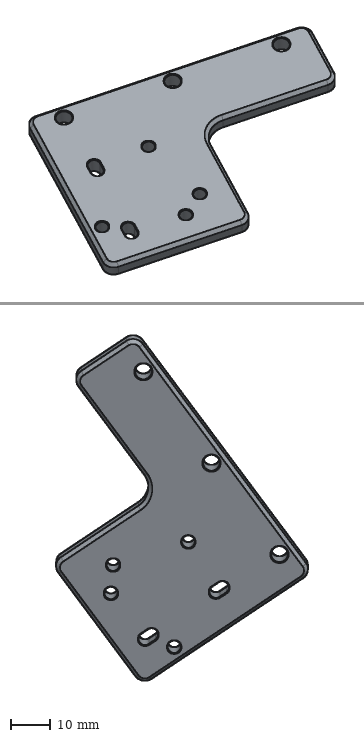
import cadquery as cq

base_width = 53.0
plate_length = 78.0
thickness = 5.0
arm_width = 20.0
base_length = 40.0
outer_corner_radius = 3.0
inner_corner_radius = 6.0
edge_chamfer = 1.0

mount_diameter = 4.2
mount_x = 4.0
mount_first_y = 9.0
mount_pitch = 30.0
mount_count = 3

hole_chamfer = 0.2

small_diameter = 3.3
pair_x = (21.0, 45.0)
pair_y = 25.0
column_x = 40.2
column_y = (4.0, 31.0)
slot_y = 10.0
slot_travel = 2.0


def make_plate():
    """L-shaped plate with rounded corners and chamfered top and bottom rims."""
    plate = (
        cq.Workplane("XY")
        .moveTo(0, 0)
        .lineTo(base_width, 0)
        .lineTo(base_width, base_length)
        .lineTo(arm_width, base_length)
        .lineTo(arm_width, plate_length)
        .lineTo(0, plate_length)
        .close()
        .extrude(thickness)
    )
    inner_corner = cq.selectors.NearestToPointSelector((arm_width, base_length, thickness / 2))
    plate = plate.edges(inner_corner).fillet(inner_corner_radius)
    outer_corners = [
        (0, 0),
        (base_width, 0),
        (base_width, base_length),
        (arm_width, plate_length),
        (0, plate_length),
    ]
    for x, y in outer_corners:
        corner = cq.selectors.NearestToPointSelector((x, y, thickness / 2))
        plate = plate.edges(corner).fillet(outer_corner_radius)
    return plate.faces("<Z or >Z").edges().chamfer(edge_chamfer)


def round_holes(points, diameter):
    """Cylinders that cut through the full plate thickness."""
    return cq.Workplane("XY").pushPoints(points).circle(diameter / 2).extrude(thickness)


def slots():
    """Each slot starts or ends on a pair hole's X position and runs inward."""
    left_center = pair_x[0] + slot_travel / 2
    right_center = pair_x[1] - slot_travel / 2
    return (
        cq.Workplane("XY")
        .pushPoints([(left_center, slot_y), (right_center, slot_y)])
        .slot2D(slot_travel + small_diameter, small_diameter)
        .extrude(thickness)
    )


def chamfer_hole_rims(plate):
    """Break the rims of all openings on the top and bottom faces."""
    faces = plate.faces("<Z or >Z").vals()
    rims = [edge for face in faces for wire in face.innerWires() for edge in wire.Edges()]
    return plate.newObject(rims).chamfer(hole_chamfer)


mount_points = [(mount_x, mount_first_y + i * mount_pitch) for i in range(mount_count)]
small_points = [(x, pair_y) for x in pair_x] + [(column_x, y) for y in column_y]

drilled_plate = (
    make_plate()
    .cut(round_holes(mount_points, mount_diameter))
    .cut(round_holes(small_points, small_diameter))
    .cut(slots())
)

result = chamfer_hole_rims(drilled_plate)